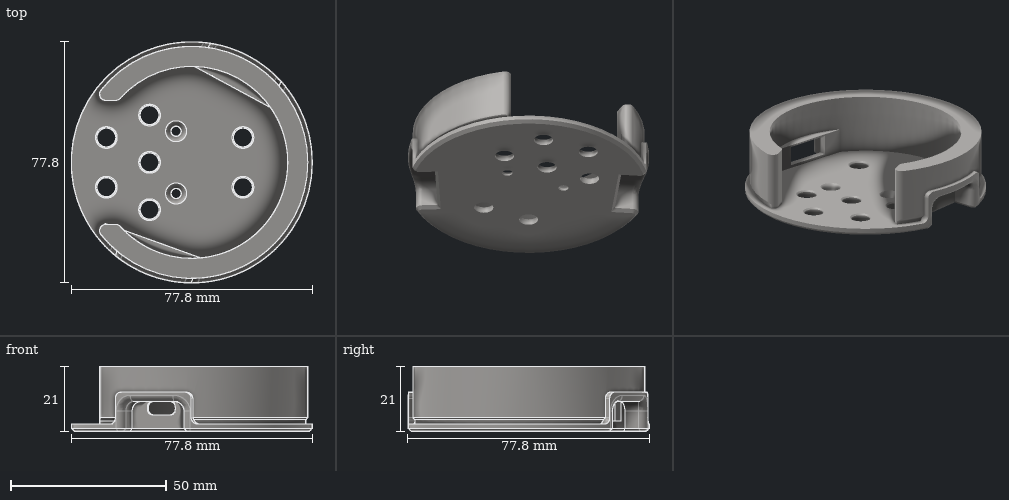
import cadquery as cq
import math

disc_radius = 38.9
disc_thickness = 2.4
bottom_chamfer = 1.0

total_height = 21.0
wall_outer_radius = 37.4
wall_inner_radius = 31.0
wall_middle_radius = (wall_inner_radius + wall_outer_radius) / 2
opening_width = 40.0
corner_radius = 2.0
undercut_depth = 0.6
short_undercut_depth = 1.1
undercut_top = disc_thickness + corner_radius

boss_width = 26.0
boss_top = 12.7
front_pad_distance = 28.0
rear_pad_distance = 27.6
pad_top = 10.2
front_port_wall = 1.0
rear_port_wall = 2.2
recess_width = 20.0
recess_top = 9.65
recess_corner_radius = 3.0
recess_rim_radius = 2.0

front_port_angle = -109.8
rear_port_angle = 61.6
ports = (
    (front_port_angle, front_pad_distance, front_port_wall),
    (rear_port_angle, rear_pad_distance, rear_port_wall),
)

slot_width = 9.6
slot_bottom = 5.4
slot_top = 9.65
slot_corner_radius = 1.8
rear_window_width = 14.85
rear_window_bottom = 3.35
rear_window_top = 9.65
window_margin = 0.4

large_hole_diameter = 6.1
large_hole_chamfer = 0.5
row_x = -13.6
row_pitch = 15.25
pair_half_spacing = 8.0
pair_left_x = -27.55
pair_right_x = 16.5
large_hole_points = [(row_x, step * row_pitch) for step in (-1, 0, 1)]
large_hole_points += [(x, side * pair_half_spacing) for x in (pair_left_x, pair_right_x) for side in (-1, 1)]
screw_hole_diameter = 3.2
screw_head_diameter = 6.8
screw_x = -5.05
screw_half_spacing = 10.0
screw_points = [(screw_x, side * screw_half_spacing) for side in (-1, 1)]
countersink_angle = 90


def cylinder(radius, height):
    return cq.Workplane("XY").circle(radius).extrude(height)


def port_block(angle, distance, depth, width, bottom, top, rounding=0):
    """Block centred on a port, reaching outward from the given distance, with rounded corners."""
    block = (
        cq.Workplane("YZ", origin=(distance, 0, 0))
        .center(0, (bottom + top) / 2)
        .rect(width, top - bottom)
        .extrude(depth)
    )
    if rounding:
        block = block.edges("|X").fillet(rounding)
    return block.rotate((0, 0, 0), (0, 0, 1), angle)


def make_wall():
    """Ring with a parallel-sided opening towards -X and rounded ends."""
    wall = cylinder(wall_outer_radius, total_height).cut(cylinder(wall_inner_radius, total_height))
    opening = cq.Workplane("XY").rect(disc_radius, opening_width).extrude(total_height)
    wall = wall.cut(opening.translate((-disc_radius / 2, 0, 0)))
    end_y = opening_width / 2
    for radius in (wall_outer_radius, wall_inner_radius):
        for y in (-end_y, end_y):
            corner = (-math.sqrt(radius**2 - end_y**2), y, total_height / 2)
            wall = wall.edges(cq.selectors.NearestToPointSelector(corner)).fillet(corner_radius)
    return wall


def make_undercut(start_angle, end_angle, depth):
    """Groove around the foot of the wall with a 45 degree upper side."""
    groove_radius = wall_outer_radius - depth
    groove = (
        cq.Workplane("XZ")
        .moveTo(groove_radius, 0)
        .lineTo(disc_radius, 0)
        .lineTo(disc_radius, undercut_top)
        .lineTo(wall_outer_radius, undercut_top)
        .lineTo(groove_radius, undercut_top - depth)
        .close()
        .revolve(end_angle - start_angle, (0, 0, 0), (0, 1, 0))
    )
    return groove.rotate((0, 0, 0), (0, 0, 1), start_angle)


def make_boss(angle):
    """Boss with rounded top corners and feet that flare onto the disc."""
    half = boss_width / 2
    foot = half + corner_radius
    bend = corner_radius * math.sqrt(0.5)
    shoulder = half - corner_radius
    shoulder_z = boss_top - corner_radius
    profile = (
        cq.Workplane("YZ", origin=(wall_middle_radius, 0, 0))
        .moveTo(-foot, 0)
        .lineTo(foot, 0)
        .lineTo(foot, disc_thickness)
        .threePointArc((foot - bend, undercut_top - bend), (half, undercut_top))
        .lineTo(half, shoulder_z)
        .threePointArc((shoulder + bend, shoulder_z + bend), (shoulder, boss_top))
        .lineTo(-shoulder, boss_top)
        .threePointArc((-shoulder - bend, shoulder_z + bend), (-half, shoulder_z))
        .lineTo(-half, undercut_top)
        .threePointArc((bend - foot, undercut_top - bend), (-foot, disc_thickness))
        .close()
    )
    boss = profile.extrude(disc_radius).rotate((0, 0, 0), (0, 0, 1), angle)
    return boss.intersect(cylinder(disc_radius, total_height))


def make_pad(angle, pad_distance):
    """Flat pad filling the segment between a straight chord and the wall."""
    pad = port_block(angle, pad_distance, disc_radius, 2 * disc_radius, 0, pad_top)
    return pad.intersect(cylinder(wall_middle_radius, total_height))


def make_recess(angle, recess_floor):
    """Arched recess, open at the bottom and outward."""
    return port_block(
        angle, recess_floor, disc_radius, recess_width, -recess_top, recess_top, recess_corner_radius
    )


def rim_edges(body, angle):
    """Edges where the recess breaks through the outer face of the boss."""
    margin = 0.15
    rim_inner = math.sqrt(disc_radius**2 - (recess_width / 2) ** 2) - margin
    zone = port_block(
        angle, rim_inner, disc_radius, recess_width + margin, -margin, recess_top + margin
    ).val()
    return [e for e in body.edges().vals() if zone.isInside(e.Center()) and e.Center().z > margin]


wall = make_wall()
wall = wall.cut(make_undercut(front_port_angle, 180, undercut_depth))
wall = wall.cut(make_undercut(-180, front_port_angle, short_undercut_depth))

body = cylinder(disc_radius, disc_thickness).union(wall)
for port_angle, pad_distance, _ in ports:
    body = body.union(make_boss(port_angle)).union(make_pad(port_angle, pad_distance))
for port_angle, pad_distance, port_wall in ports:
    body = body.cut(make_recess(port_angle, pad_distance + port_wall))
    body = body.newObject(rim_edges(body, port_angle)).fillet(recess_rim_radius)

body = body.faces("<Z").edges().chamfer(bottom_chamfer)

slot = port_block(
    front_port_angle, front_pad_distance - window_margin, front_port_wall + 2 * window_margin,
    slot_width, slot_bottom, slot_top, slot_corner_radius,
)
rear_window = port_block(
    rear_port_angle, rear_pad_distance - window_margin, rear_port_wall + 2 * window_margin,
    rear_window_width, rear_window_bottom, rear_window_top,
)
body = body.cut(slot).cut(rear_window)

result = (
    body.copyWorkplane(cq.Workplane("XY", origin=(0, 0, disc_thickness)))
    .pushPoints(large_hole_points)
    .cskHole(large_hole_diameter, large_hole_diameter + 2 * large_hole_chamfer, countersink_angle)
    .copyWorkplane(cq.Workplane("XY", origin=(0, 0, disc_thickness)))
    .pushPoints(screw_points)
    .cskHole(screw_hole_diameter, screw_head_diameter, countersink_angle)
)